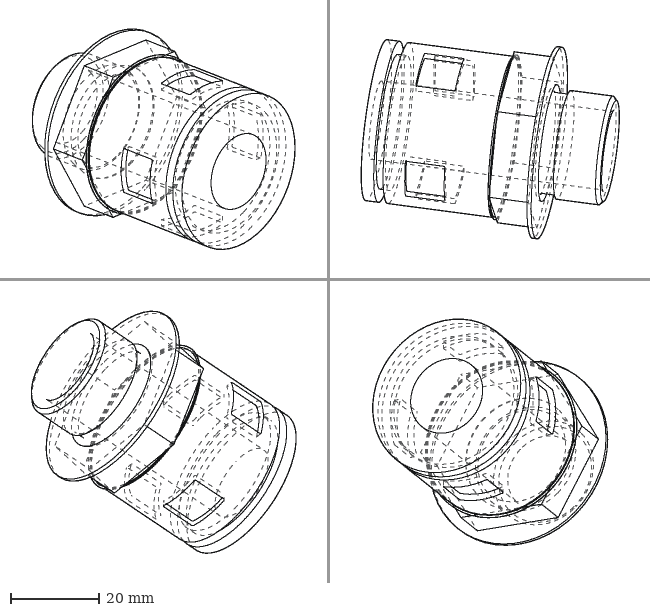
import cadquery as cq
import math

total_length = 54.0

thread_diameter = 25.0
thread_length = 10.65
neck_diameter = 23.15
runout_angle = math.radians(60)
runout_fillet = 0.6
entry_chamfer = 0.9

bore_diameter = 18.0
bore_mouth_round = 0.95

disc_diameter = 44.0
disc_start = 14.0
disc_thickness = 0.95
seal_groove_diameter = 26.8

hex_across_flats = 34.9
hex_start = disc_start + disc_thickness
hex_end = 24.1
hex_corner_diameter = hex_across_flats / math.cos(math.radians(30))

barrel_diameter = 37.0
lip_diameter = 37.8
lip_thickness = 0.1
step_diameter = 36.7
step_end = 24.6
groove_diameter = 30.95
groove_start = 48.9
groove_end = 51.1

window_count = 4
window_start = 34.8
window_length = 9.1
window_width = 10.9
window_floor_diameter = 33.95
window_corner_radius = 0.3


def cylinder(diameter, start, end):
    """Cylinder along X between two stations."""
    return cq.Workplane("YZ", origin=(start, 0, 0)).circle(diameter / 2).extrude(end - start)


def make_spigot():
    """Threaded length whose sloping end flank runs into the neck through a fillet."""
    thread_radius = thread_diameter / 2
    neck_radius = neck_diameter / 2
    flank_end_radius = neck_radius + runout_fillet * (1 - math.cos(runout_angle))
    flank_end = thread_length + (thread_radius - flank_end_radius) / math.tan(runout_angle)
    neck_start = flank_end + runout_fillet * math.sin(runout_angle)
    arc_middle = (
        neck_start - runout_fillet * math.sin(runout_angle / 2),
        neck_radius + runout_fillet * (1 - math.cos(runout_angle / 2)),
    )
    return (
        cq.Workplane("XY")
        .lineTo(0, thread_radius - entry_chamfer)
        .lineTo(entry_chamfer, thread_radius)
        .lineTo(thread_length, thread_radius)
        .lineTo(flank_end, flank_end_radius)
        .threePointArc(arc_middle, (neck_start, neck_radius))
        .lineTo(hex_start, neck_radius)
        .lineTo(hex_start, 0)
        .close()
        .revolve(360, (0, 0, 0), (1, 0, 0))
    )


def make_disc():
    """Sealing disc with a half-round groove between the neck and its front face."""
    neck_radius = neck_diameter / 2
    outer_radius = seal_groove_diameter / 2
    middle_radius = (neck_radius + outer_radius) / 2
    groove_depth = (outer_radius - neck_radius) / 2
    groove = (
        cq.Workplane("XY")
        .moveTo(disc_start, neck_radius)
        .threePointArc((disc_start + groove_depth, middle_radius), (disc_start, outer_radius))
        .close()
        .revolve(360, (0, 0, 0), (1, 0, 0))
    )
    return cylinder(disc_diameter, disc_start, hex_start).cut(groove)


def make_hexagon():
    return (
        cq.Workplane("YZ", origin=(hex_start, 0, 0))
        .polygon(6, hex_corner_diameter)
        .extrude(hex_end - hex_start)
    )


def make_barrel():
    lip_end = hex_end + lip_thickness
    return (
        cylinder(lip_diameter, hex_end, lip_end)
        .union(cylinder(step_diameter, lip_end, step_end))
        .union(cylinder(barrel_diameter, step_end, groove_start))
        .union(cylinder(groove_diameter, groove_start, groove_end))
        .union(cylinder(barrel_diameter, groove_end, total_length))
    )


def make_windows():
    """Rounded blocks around the axis, hollowed so that the window floors follow the barrel."""
    window_end = window_start + window_length
    blocks = cq.Workplane("XY")
    for index in range(window_count):
        block = (
            cq.Workplane("XY")
            .center(window_start + window_length / 2, 0)
            .rect(window_length, window_width)
            .extrude(barrel_diameter)
            .edges("|Z")
            .fillet(window_corner_radius)
            .rotate((0, 0, 0), (1, 0, 0), index * 360 / window_count)
        )
        blocks = blocks.add(block)
    return blocks.combine().cut(cylinder(window_floor_diameter, window_start, window_end))


def make_bore():
    """Through bore with a convex round at the spigot mouth."""
    bore_radius = bore_diameter / 2
    mouth_radius = bore_radius + bore_mouth_round
    bend = bore_mouth_round * (1 - math.sqrt(0.5))
    return (
        cq.Workplane("XY")
        .lineTo(0, mouth_radius)
        .threePointArc((bend, bore_radius + bend), (bore_mouth_round, bore_radius))
        .lineTo(total_length, bore_radius)
        .lineTo(total_length, 0)
        .close()
        .revolve(360, (0, 0, 0), (1, 0, 0))
    )


body = make_spigot().union(make_disc()).union(make_hexagon()).union(make_barrel())
result = body.cut(make_windows()).cut(make_bore())